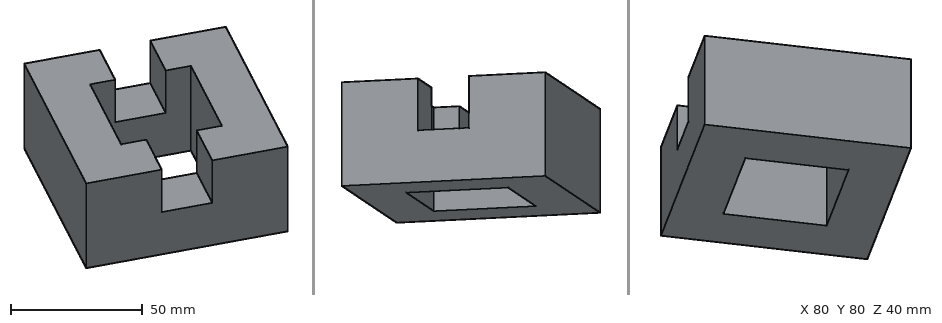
import cadquery as cq

side = 80.0
height = side / 2
opening_side = side / 2
slot_width = side / 4
slot_depth = height / 2

block = cq.Workplane("XY").box(side, side, height, centered=(True, True, False))

opening = cq.Workplane("XY").box(opening_side, opening_side, height, centered=(True, True, False))

slot = (
    cq.Workplane("XY")
    .workplane(offset=height - slot_depth)
    .box(side, slot_width, slot_depth, centered=(True, True, False))
)

result = block.cut(opening).cut(slot)